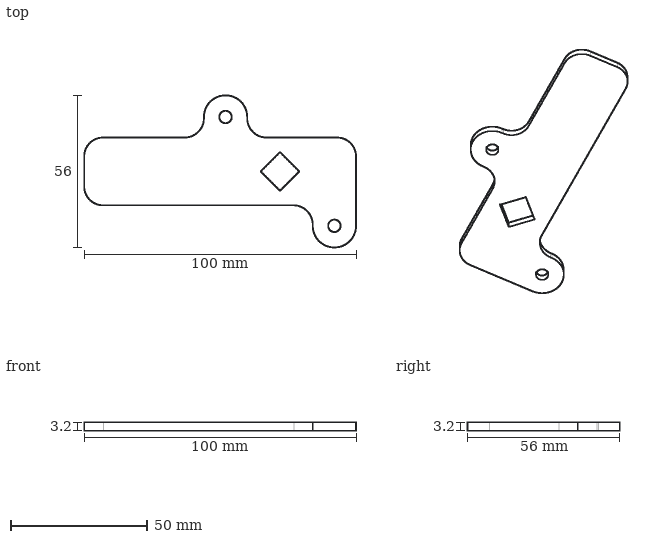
import cadquery as cq

thickness = 3.2
overall_length = 100.0
arm_width = 25.0
corner_radius = 7.0

ear_radius = 8.0
ear_offset = 20.0
ear_hole_diameter = 4.5
ear_centers = [(-ear_offset, ear_offset), (ear_offset, -ear_offset)]

square_side = 10.0
square_angle = 45.0

right_edge = ear_offset + ear_radius
left_edge = right_edge - overall_length
arm_middle_x = (left_edge + right_edge) / 2


def make_arm():
    """Long rectangular arm."""
    return (
        cq.Workplane("XY")
        .center(arm_middle_x, 0)
        .rect(overall_length, arm_width)
        .extrude(thickness)
    )


def make_ear_neck(center):
    """Straight-sided neck from the arm's centre line out to an ear's centre."""
    x, y = center
    return (
        cq.Workplane("XY")
        .center(x, y / 2)
        .rect(2 * ear_radius, abs(y))
        .extrude(thickness)
    )


def make_ear_ends():
    """Round ends of the ears."""
    return cq.Workplane("XY").pushPoints(ear_centers).circle(ear_radius).extrude(thickness)


def make_plate():
    """Arm and ears, with the arm corners and the ear roots rounded."""
    half_width = arm_width / 2
    rounded_points = [
        (left_edge, half_width),
        (left_edge, -half_width),
        (right_edge, half_width),
        (-ear_offset - ear_radius, half_width),
        (-ear_offset + ear_radius, half_width),
        (ear_offset - ear_radius, -half_width),
    ]
    plate = make_arm()
    for center in ear_centers:
        plate = plate.union(make_ear_neck(center))
    plate = plate.union(make_ear_ends()).clean()
    for point in rounded_points:
        corner = cq.selectors.NearestToPointSelector((*point, thickness / 2))
        plate = plate.edges("|Z").edges(corner).fillet(corner_radius)
    return plate


def cut_ear_holes(plate):
    """Through hole in each ear."""
    holes = (
        cq.Workplane("XY")
        .pushPoints(ear_centers)
        .circle(ear_hole_diameter / 2)
        .extrude(thickness)
    )
    return plate.cut(holes)


def cut_square_hole(plate):
    """Square through hole standing on a corner."""
    square = (
        cq.Workplane("XY")
        .transformed(rotate=(0, 0, square_angle))
        .rect(square_side, square_side)
        .extrude(thickness)
    )
    return plate.cut(square)


result = cut_square_hole(cut_ear_holes(make_plate()))